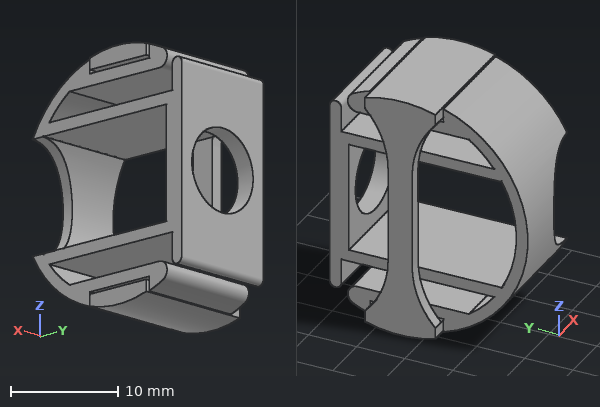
import cadquery as cq
import math


outer_radius = 12.55
wall = 1.2

housing_length = 11.0
housing_start = -housing_length / 2
inner_radius = outer_radius - wall
slot_width = 7.6
slot_depth = 2.0
slot_floor_z = outer_radius - slot_depth
arm_inner_z = slot_floor_z - wall
arm_tip_radius = 1.0
shelf_inner_z = 5.65
shelf_outer_z = shelf_inner_z + wall
back_outer_y = 8.0
back_flange_y = back_outer_y - wall
back_inner_y = 6.0
flange_half_height = 10.0
back_hole_diameter = 8.2
notch_radius = shelf_inner_z

clip_overhang = 0.2
clip_length = 12.6
clip_end = housing_length / 2 + clip_overhang
clip_start = clip_end - clip_length
web_thickness = 1.25
web_width = 2.5
web_straight_half_height = 4.9
pad_width = 7.3
pad_inner_z = 10.85


def circle_coordinate(radius, offset):
    """Other coordinate of the point on a circle about the origin at the given offset."""
    return math.sqrt(radius**2 - offset**2)


def section(start):
    """Sketch plane across X: local x is Y, local y is Z, extruding towards +X."""
    return cq.Workplane("YZ", origin=(start, 0, 0))


def both_ends(solid):
    """The solid joined with its mirror image below Z = 0."""
    return solid.union(solid.mirror("XY"))


def make_ring_and_arms():
    """C-shaped outer wall whose two ends are thick arms with rounded tips."""
    tip_z = arm_inner_z + arm_tip_radius
    tip_distance = outer_radius - arm_tip_radius
    tip_y = circle_coordinate(tip_distance, tip_z)
    tip_to_outer = outer_radius / tip_distance
    nose_angle = (math.atan2(tip_z, tip_y) - math.pi / 2) / 2
    nose = (
        tip_y + arm_tip_radius * math.cos(nose_angle),
        tip_z + arm_tip_radius * math.sin(nose_angle),
    )
    inner_corner_y = -circle_coordinate(inner_radius, arm_inner_z)
    half = (
        section(housing_start)
        .moveTo(-outer_radius, 0)
        .threePointArc((0, outer_radius), (tip_y * tip_to_outer, tip_z * tip_to_outer))
        .threePointArc(nose, (tip_y, arm_inner_z))
        .lineTo(inner_corner_y, arm_inner_z)
        .threePointArc(
            (-circle_coordinate(inner_radius, shelf_outer_z), shelf_outer_z),
            (-inner_radius, 0),
        )
        .close()
        .extrude(housing_length)
    )
    return both_ends(half)


def make_shelf():
    """Upper flat shelf running from the back plate into the round wall."""
    ring_y = -circle_coordinate(outer_radius - wall / 2, shelf_outer_z)
    return (
        section(housing_start)
        .moveTo(ring_y, shelf_inner_z)
        .lineTo(back_flange_y, shelf_inner_z)
        .lineTo(back_flange_y, shelf_outer_z)
        .lineTo(ring_y, shelf_outer_z)
        .close()
        .extrude(housing_length)
    )


def make_back_plate():
    """Back plate with round-ended flanges, thicker between the shelves."""
    flange = (
        section(housing_start)
        .center((back_flange_y + back_outer_y) / 2, 0)
        .slot2D(2 * flange_half_height, wall, 90)
        .extrude(housing_length)
    )
    thick_middle = (
        section(housing_start)
        .center((back_inner_y + back_outer_y) / 2, 0)
        .rect(back_outer_y - back_inner_y, 2 * shelf_outer_z)
        .extrude(housing_length)
    )
    return flange.union(thick_middle)


def make_pad_slot():
    """Cutter for the upper slot that receives a clip pad."""
    return (
        section(housing_start)
        .center(0, slot_floor_z + slot_depth / 2)
        .rect(slot_width, slot_depth)
        .extrude(housing_length)
    )


def make_back_hole():
    """Cutter for the round hole through the back plate."""
    return (
        cq.Workplane("XZ", origin=(0, back_outer_y, 0))
        .circle(back_hole_diameter / 2)
        .extrude(back_outer_y - back_inner_y)
    )


def make_front_notch():
    """Cutter for the round notch in the +X edge of the front wall, reaching X = 0."""
    return (
        cq.Workplane("XZ")
        .center(notch_radius, 0)
        .circle(notch_radius)
        .extrude(outer_radius)
    )


def make_housing():
    housing = make_ring_and_arms().union(both_ends(make_shelf())).union(make_back_plate())
    pad_slot = make_pad_slot()
    housing = housing.cut(pad_slot).cut(pad_slot.mirror("XY"))
    return housing.cut(make_back_hole()).cut(make_front_notch())


def make_web():
    """End web: a narrow bar that flares through tangent arcs into the pads."""
    half_web = web_width / 2
    half_pad = pad_width / 2
    flare_width = half_pad - half_web
    flare_height = pad_inner_z - web_straight_half_height
    flare_radius = (flare_width**2 + flare_height**2) / (2 * flare_width)
    middle_angle = math.asin(flare_height / flare_radius) / 2
    flare_middle_y = half_web + flare_radius * (1 - math.cos(middle_angle))
    flare_middle_z = web_straight_half_height + flare_radius * math.sin(middle_angle)
    half = (
        section(clip_start)
        .moveTo(half_web, 0)
        .lineTo(half_web, web_straight_half_height)
        .threePointArc((flare_middle_y, flare_middle_z), (half_pad, pad_inner_z))
        .lineTo(-half_pad, pad_inner_z)
        .threePointArc((-flare_middle_y, flare_middle_z), (-half_web, web_straight_half_height))
        .lineTo(-half_web, 0)
        .close()
        .extrude(web_thickness)
    )
    return both_ends(half)


def make_pad():
    """Upper pad: fills the slot with side clearance and carries on the round outside."""
    half_pad = pad_width / 2
    edge_z = circle_coordinate(outer_radius, half_pad)
    return (
        section(clip_start)
        .moveTo(-half_pad, pad_inner_z)
        .lineTo(half_pad, pad_inner_z)
        .lineTo(half_pad, edge_z)
        .threePointArc((0, outer_radius), (-half_pad, edge_z))
        .close()
        .extrude(clip_length)
    )


def make_clip():
    return make_web().union(both_ends(make_pad()))


housing = make_housing()
clip = make_clip()

result = cq.Compound.makeCompound([housing.val(), clip.val()])